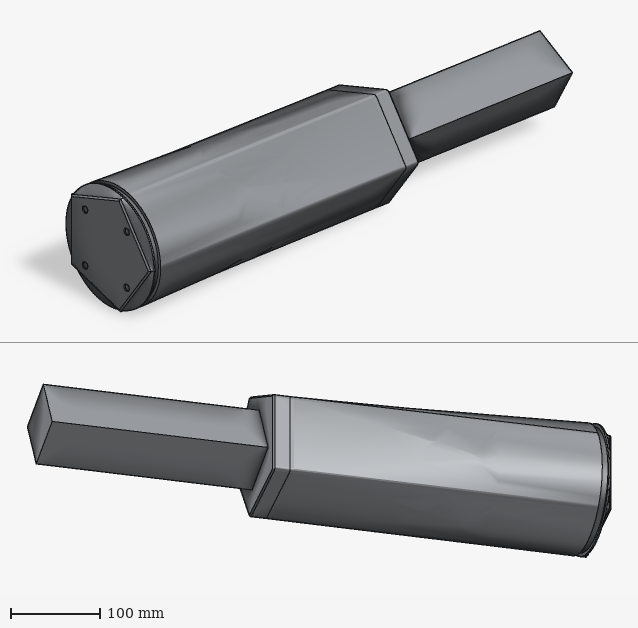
import cadquery as cq
import math


side_count = 5
round_diameter = 150.0
cap_pentagon_diameter = 150.0
body_pentagon_diameter = 152.0
body_corner_radius = 5.0
end_chamfer = 2.0

plate_end = 3.0
cap_taper_end = 6.0
cap_rim_end = 8.0
cap_end = 16.0
housing_end = 400.0
flange_thickness = 20.0
body_straight_length = 5.0
body_end = housing_end - flange_thickness
body_taper_end = body_end - body_straight_length

neck_depth = 4.0
neck_diameter = round_diameter - 2 * neck_depth

handle_diameter = 90.0
handle_length = 255.0
handle_turn = 16.0

screw_count = 4
first_screw_angle = 45.0
screw_circle_diameter = 100.0
screw_diameter = 7.0
countersink_diameter = 9.0
countersink_depth = (countersink_diameter - screw_diameter) / 2


def section_at(y):
    """Workplane across the axis; extruding from it runs towards the front (-Y)."""
    return cq.Workplane("XZ", origin=(0, y, 0))


def round_bar(y_start, y_end, diameter):
    return section_at(y_end).circle(diameter / 2).extrude(y_end - y_start)


def pentagon_bar(y_start, y_end, diameter):
    """Pentagonal bar with one corner towards +X."""
    return section_at(y_end).polygon(side_count, diameter).extrude(y_end - y_start)


def rounded_pentagon_bar(y_start, y_end):
    """Pentagonal bar with rounded corners, as shared by the body and the flange."""
    bar = pentagon_bar(y_start, y_end, body_pentagon_diameter)
    return bar.edges("|Y").fillet(body_corner_radius)


def taper_to_round(bar, face_selector, y_round):
    """Straight-ruled transition from an end face of a bar to the round section."""
    bar_outline = bar.faces(face_selector).wires().val()
    round_outline = section_at(y_round).circle(round_diameter / 2).wires().val()
    return cq.Workplane(cq.Solid.makeLoft([bar_outline, round_outline], True))


def screw_position(index):
    angle = math.radians(first_screw_angle + index * 360 / screw_count)
    radius = screw_circle_diameter / 2
    return radius * math.cos(angle), radius * math.sin(angle)


def make_screw(index):
    """Plain screw, from the bottom of its countersink to the back of the cap."""
    x, z = screw_position(index)
    return section_at(cap_end).center(x, z).circle(screw_diameter / 2).extrude(cap_end - countersink_depth)


def make_countersink(index):
    x, z = screw_position(index)
    cone = cq.Solid.makeCone(
        countersink_diameter / 2,
        screw_diameter / 2,
        countersink_depth,
        pnt=cq.Vector(x, 0, z),
        dir=cq.Vector(0, 1, 0),
    )
    return cq.Workplane(cone)


def make_cap():
    """Chamfered pentagonal plate widening to a round rim, with a narrower neck behind it."""
    plate = pentagon_bar(0, plate_end, cap_pentagon_diameter)
    taper = taper_to_round(plate, ">Y", cap_taper_end)
    rim = round_bar(cap_taper_end, cap_rim_end, round_diameter)
    neck = round_bar(cap_rim_end, cap_end, neck_diameter)
    cap = plate.faces("<Y").chamfer(end_chamfer).union(taper).union(rim).union(neck)
    for index in range(screw_count):
        cap = cap.cut(make_countersink(index)).cut(make_screw(index))
    return cap


def make_body():
    """Round at the front, tapering into a short straight pentagonal end."""
    straight_end = rounded_pentagon_bar(body_taper_end, body_end)
    taper = taper_to_round(straight_end, "<Y", cap_end)
    return taper.union(straight_end)


def make_handle():
    """Pentagonal flange closing the body, with the turned square handle behind it."""
    flange = rounded_pentagon_bar(body_end, housing_end).faces(">Y").chamfer(end_chamfer)
    grip = (
        section_at(housing_end + handle_length)
        .transformed(rotate=(0, 0, handle_turn))
        .polygon(4, handle_diameter)
        .extrude(handle_length)
    )
    return flange.union(grip)


cap = make_cap()
body = make_body()
handle = make_handle()
screws = [make_screw(index).val() for index in range(screw_count)]

result = cq.Compound.makeCompound([cap.val(), body.val(), handle.val(), *screws])